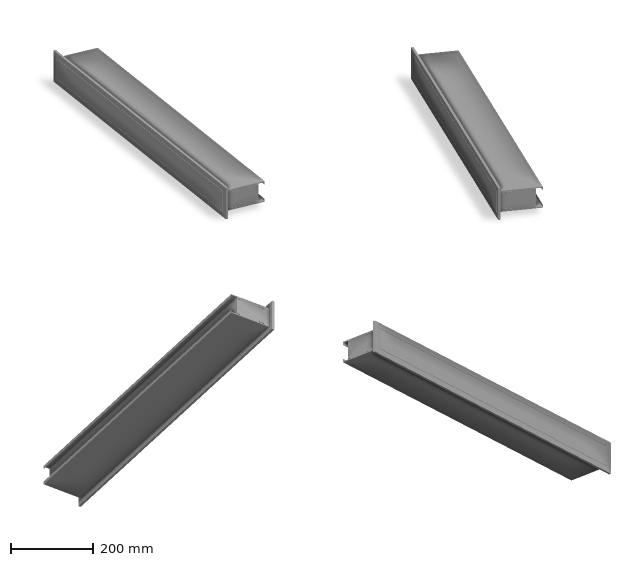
import cadquery as cq

frame_length = 873.0
frame_height = 85.0
frame_thickness = 6.0
total_depth = 115.0

frame_border = 14.0
housing_length = frame_length - 2 * frame_border
housing_height = 56.0
wall = 3.0
lip_thickness = 1.0
lip_height = 9.0
recess_depth = 17.0

end_gap = 3.0
side_gap = 1.0
groove_depth = 1.0

tab_projection = 3.0
tab_height = 5.0
rear_tab_width = 6.0
rear_tab_setback = 2.0
front_tab_width = 3.5
front_tab_pitch = 10.5
front_tab_center = 29.0
web_thickness = 2.0
web_projection = 1.0


def block(length, depth, height, front_y):
    """Box centred in X and Z, reaching back from front_y."""
    box = cq.Workplane("XY").box(length, depth, height, centered=(True, False, True))
    return box.translate((0, front_y, 0))


def make_housing():
    body = block(housing_length, total_depth, housing_height, 0)
    recess = block(
        housing_length, recess_depth - lip_thickness, housing_height - 2 * wall, total_depth - recess_depth
    )
    mouth = block(housing_length, recess_depth, housing_height - 2 * lip_height, total_depth - recess_depth)
    return body.cut(recess).cut(mouth)


def make_pane_groove():
    outer = block(housing_length, groove_depth, housing_height, 0)
    pane = block(housing_length - 2 * end_gap, groove_depth, housing_height - 2 * side_gap, 0)
    return outer.cut(pane)


def end_tabs(width, center_y, height, projection):
    """Matching tabs on both ends, along the upper and lower walls."""
    span = block(housing_length + 2 * projection, width, housing_height - 2 * wall, center_y - width / 2)
    middle_height = housing_height - 2 * wall - 2 * height
    middle = block(housing_length + 2 * projection, width, middle_height, center_y - width / 2)
    core = block(housing_length, width, housing_height, center_y - width / 2)
    return span.cut(middle).cut(core)


frame = block(frame_length, frame_thickness, frame_height, 0)
result = frame.union(make_housing()).cut(make_pane_groove())

rear_tab_center = total_depth - recess_depth - rear_tab_setback - rear_tab_width / 2
result = result.union(end_tabs(rear_tab_width, rear_tab_center, tab_height, tab_projection))

for side in (-1, 1):
    tab_center = front_tab_center + side * front_tab_pitch / 2
    result = result.union(end_tabs(front_tab_width, tab_center, tab_height, tab_projection))
web_length = front_tab_pitch - front_tab_width
web_reach = (tab_height + web_thickness) / 2
web = end_tabs(web_length, front_tab_center, web_reach, web_projection)
web = web.cut(end_tabs(web_length, front_tab_center, web_reach - web_thickness, web_projection))
result = result.union(web)